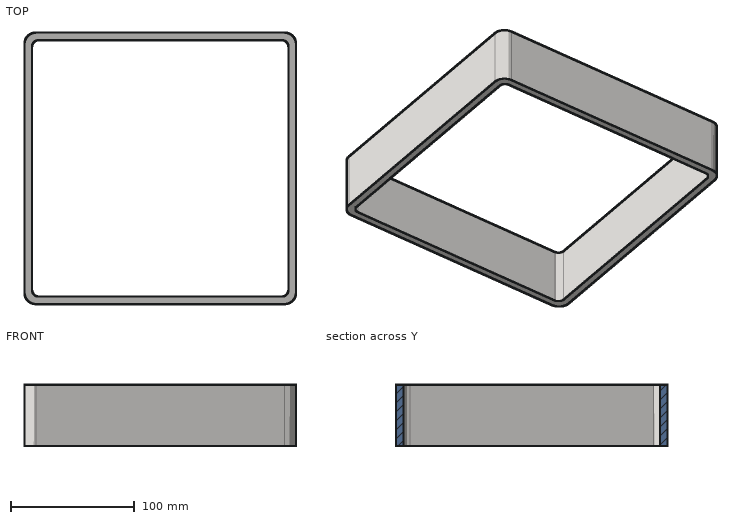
import cadquery as cq

side = 220.0
height = 50.0
wall = 6.4
outer_radius = 9.5
inner_radius = 5.0


def rounded_square_prism(width, corner_radius):
    """Upright square block with its four vertical edges rounded."""
    return cq.Workplane("XY").rect(width, width).extrude(height).edges("|Z").fillet(corner_radius)


outer_block = rounded_square_prism(side, outer_radius)
opening = rounded_square_prism(side - 2 * wall, inner_radius)

result = outer_block.cut(opening)